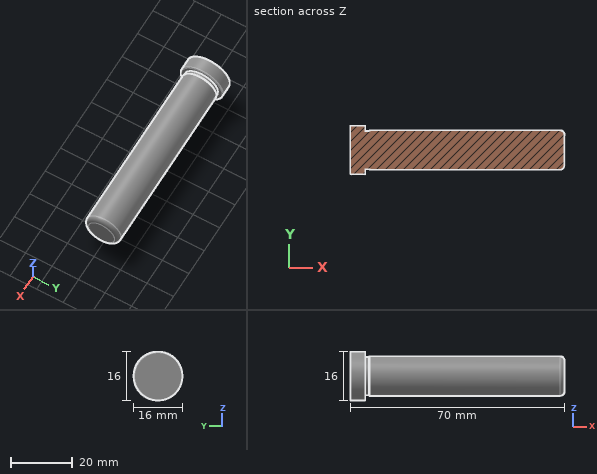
import cadquery as cq

total_length = 70.0
head_diameter = 16.0
head_length = 5.0
head_edge_radius = 0.3
shank_diameter = 13.0
tip_radius = 1.6

groove_diameter = 12.5
groove_end = 6.4

groove_depth = (shank_diameter - groove_diameter) / 2


def cylinder(start, end, diameter):
    """Solid cylinder along X between two stations."""
    return cq.Workplane("YZ", origin=(start, 0, 0)).circle(diameter / 2).extrude(end - start)


head = cylinder(0, head_length, head_diameter).edges().fillet(head_edge_radius)

neck = cylinder(head_length / 2, groove_end, groove_diameter)

shank = (
    cylinder(groove_end - groove_depth, total_length, shank_diameter)
    .faces("<X").edges().chamfer(groove_depth)
    .faces(">X").edges().fillet(tip_radius)
)

result = head.union(neck).union(shank)